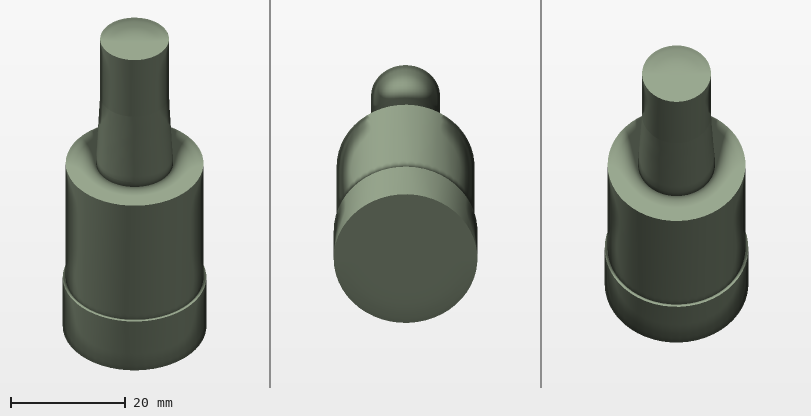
import cadquery as cq

total_height = 63.5

base_diameter = 25.0
base_top = 10.8

body_diameter = 24.0
body_top = 36.0

collar_diameter = 13.4
collar_height = 1.0
collar_top = body_top + collar_height

tip_diameter = 12.0
neck_top = 51.0


def cylinder(diameter, bottom, top):
    """Upright cylinder on the Z axis between two heights."""
    return cq.Workplane("XY").workplane(offset=bottom).circle(diameter / 2).extrude(top - bottom)


def taper(bottom_diameter, top_diameter, bottom, top):
    """Cone frustum on the Z axis between two heights."""
    profile = [
        (0, bottom),
        (bottom_diameter / 2, bottom),
        (top_diameter / 2, top),
        (0, top),
    ]
    return cq.Workplane("XZ").polyline(profile).close().revolve(360, (0, 0), (0, 1))


base = cylinder(base_diameter, 0, base_top)
body = cylinder(body_diameter, base_top, body_top)
collar = cylinder(collar_diameter, body_top, collar_top)
neck = taper(collar_diameter, tip_diameter, collar_top, neck_top)
tip = cylinder(tip_diameter, neck_top, total_height)

result = base.union(body).union(collar).union(neck).union(tip)